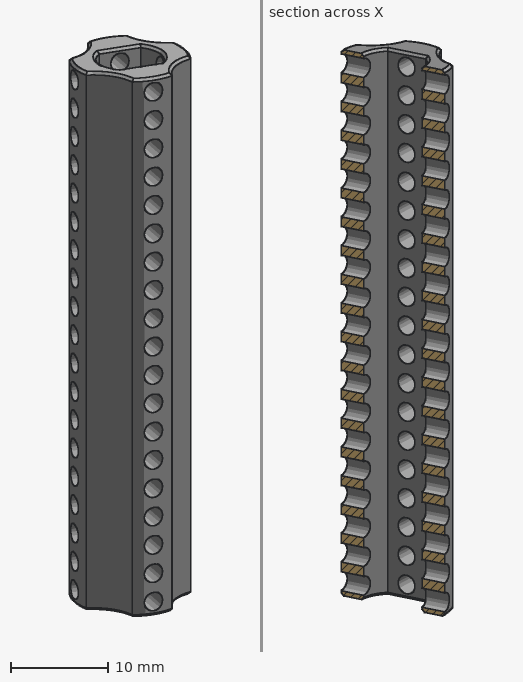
import cadquery as cq
import math

LENGTH = 59.4
HOLE_COUNT = 19
HOLE_DIAMETER = 2.0
DIAMETER_IN_PITCHES = 4
LOBE_WIDTH = 4.45
FLUTE_COUNT = 4
FLUTE_RADIUS = 5.0
FIRST_FLUTE_ANGLE = 45
BORE_DIAMETER = 7.0
BORE_FLAT_WIDTH = 5.3
END_CHAMFER = 0.3

hole_pitch = LENGTH / HOLE_COUNT
outer_radius = DIAMETER_IN_PITCHES * hole_pitch / 2

lobe_half_width = LOBE_WIDTH / 2
lobe_edge = math.sqrt(outer_radius**2 - lobe_half_width**2)

half_chord = (lobe_edge - lobe_half_width) / math.sqrt(2)
chord_distance = (lobe_edge + lobe_half_width) / math.sqrt(2)
flute_centre = chord_distance + math.sqrt(FLUTE_RADIUS**2 - half_chord**2)


def make_fluted_bar():
    """Round bar with concave flutes on the diagonals, leaving a lobe on each axis."""
    flutes = (
        cq.Workplane("XY")
        .polarArray(flute_centre, FIRST_FLUTE_ANGLE, 360, FLUTE_COUNT)
        .circle(FLUTE_RADIUS)
        .extrude(LENGTH)
    )
    return cq.Workplane("XY").circle(outer_radius).extrude(LENGTH).cut(flutes)


def make_bore():
    """Round bore with two opposite flats facing along X."""
    flats = cq.Workplane("XY").rect(BORE_FLAT_WIDTH, BORE_DIAMETER).extrude(LENGTH)
    return cq.Workplane("XY").circle(BORE_DIAMETER / 2).extrude(LENGTH).intersect(flats)


def make_cross_holes(plane):
    """Row of evenly spaced holes passing right through the bar, normal to the plane."""
    return (
        cq.Workplane(plane, origin=(0, 0, LENGTH / 2))
        .rarray(hole_pitch, hole_pitch, 1, HOLE_COUNT)
        .circle(HOLE_DIAMETER / 2)
        .extrude(outer_radius, both=True)
    )


result = make_fluted_bar().cut(make_bore())

result = result.faces("<Z or >Z").chamfer(END_CHAMFER)

for plane in ("XZ", "YZ"):
    result = result.cut(make_cross_holes(plane))